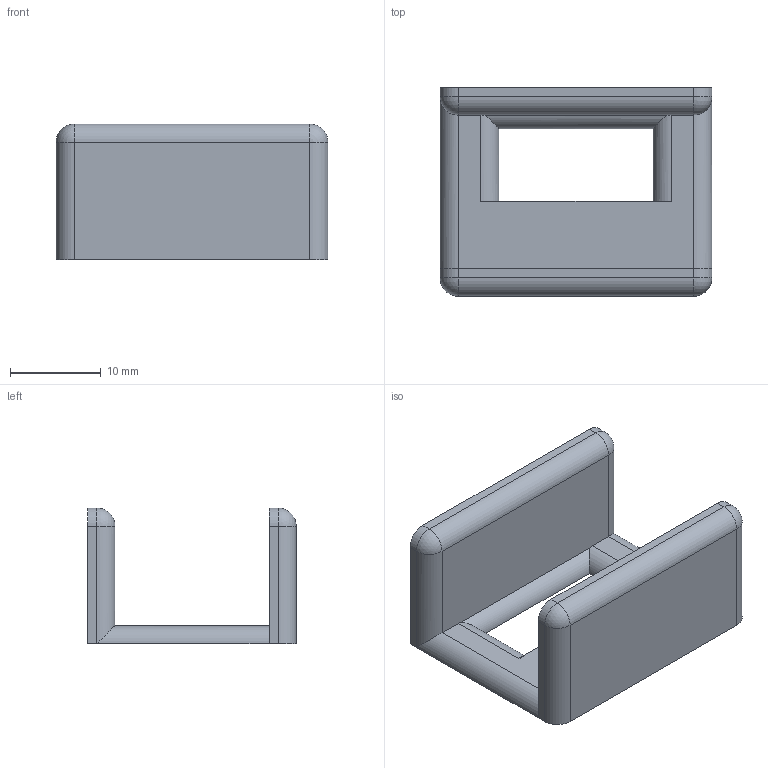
import cadquery as cq

width = 30.0
depth = 23.0
height = 15.0

wall_thickness = 3.0
floor_thickness = 2.0
edge_radius = floor_thickness

window_width = 17.0
window_front = 10.5
window_back = 18.5

CENTERED_ON_X = (True, False, False)


def rounded_wall(front_y):
    """Upright wall with rounded sides and top on its front face and rounded upper corners."""
    wall = cq.Workplane("XY").box(width, wall_thickness, height, centered=CENTERED_ON_X)
    wall = wall.edges("|Y and >Z").fillet(edge_radius)
    wall = wall.faces("<Y").edges(">Z").fillet(edge_radius)
    return wall.translate((0, front_y, 0))


def window_cutter():
    """Window through the floor, flaring upward in a convex round on its sides and back."""
    clear_depth = window_back - window_front
    blank = (
        cq.Workplane("XY")
        .box(
            window_width + 2 * edge_radius,
            clear_depth + edge_radius,
            floor_thickness,
            centered=CENTERED_ON_X,
        )
        .translate((0, window_front, 0))
    )
    rail_x = window_width / 2 + edge_radius
    rail_back = window_back + edge_radius
    for side in (-1, 1):
        side_rail = (
            cq.Workplane("XZ", origin=(side * rail_x, window_front, 0))
            .circle(edge_radius)
            .extrude(-(clear_depth + edge_radius))
        )
        blank = blank.cut(side_rail)
    back_rail = (
        cq.Workplane("YZ", origin=(-rail_x, rail_back, 0))
        .circle(edge_radius)
        .extrude(2 * rail_x)
    )
    return blank.cut(back_rail)


def floor_plate():
    """Floor between the walls, with rounded upper side edges and the window."""
    half_flat = width / 2 - edge_radius
    profile = (
        cq.Workplane("XZ")
        .moveTo(-width / 2, 0)
        .radiusArc((-half_flat, floor_thickness), edge_radius)
        .lineTo(half_flat, floor_thickness)
        .radiusArc((width / 2, 0), edge_radius)
        .close()
    )
    floor_length = depth - edge_radius
    plate = profile.extrude(-floor_length).translate((0, edge_radius, 0))
    return plate.cut(window_cutter())


front_wall = rounded_wall(0)
back_wall = rounded_wall(depth - wall_thickness)

result = floor_plate().union(front_wall).union(back_wall)